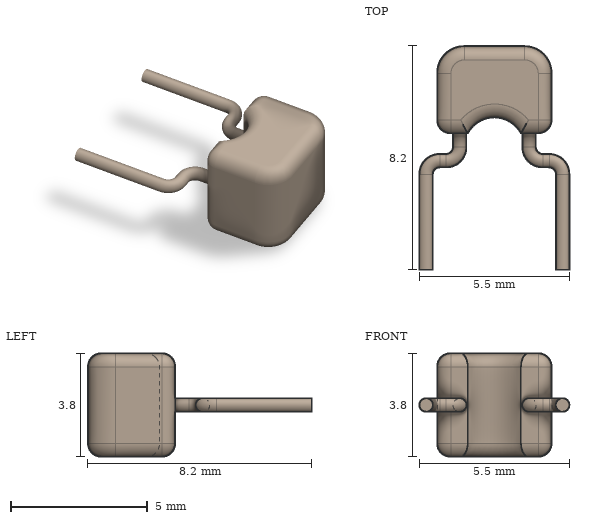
import cadquery as cq
import math

body_width = 4.2
body_depth = 3.2
body_height = 3.8
edge_radius = 0.5
back_corner_radius = 2 * edge_radius

scoop_radius = 1.11
scoop_axis_offset = 0.525

overall_depth = 8.2
wire_diameter = 0.5
bend_radius = 0.5
first_straight = 0.5
lead_root_x = 1.27
lead_tip_x = 2.5
lead_embedment = 0.5


def make_body():
    half_width = body_width / 2
    scoop_half_width = math.sqrt(scoop_radius**2 - scoop_axis_offset**2)
    scoop_depth = scoop_radius - scoop_axis_offset
    block = (
        cq.Workplane("XY", origin=(0, 0, -body_height / 2))
        .moveTo(-half_width, 0)
        .lineTo(-scoop_half_width, 0)
        .threePointArc((0, scoop_depth), (scoop_half_width, 0))
        .lineTo(half_width, 0)
        .lineTo(half_width, body_depth)
        .lineTo(-half_width, body_depth)
        .close()
        .extrude(body_height)
    )
    block = block.edges("|Z and >Y").fillet(back_corner_radius)
    front_corners = block.edges("|Z and (<X or >X)").edges("<Y")
    rims = block.faces("<Z or >Z").edges()
    return front_corners.add(rims).fillet(edge_radius)


def make_lead(side):
    """Sweep one lead; side is -1 for the left lead and +1 for the right."""
    bend_middle = bend_radius * math.sqrt(0.5)
    first_bend_y = -first_straight
    crossing_y = first_bend_y - bend_radius
    second_bend_y = crossing_y - bend_radius
    tip_y = body_depth - overall_depth
    crossing_start_x = lead_root_x + bend_radius
    crossing_end_x = lead_tip_x - bend_radius

    path = (
        cq.Workplane("XY")
        .moveTo(side * lead_root_x, lead_embedment)
        .lineTo(side * lead_root_x, first_bend_y)
        .threePointArc(
            (side * (crossing_start_x - bend_middle), first_bend_y - bend_middle),
            (side * crossing_start_x, crossing_y),
        )
        .lineTo(side * crossing_end_x, crossing_y)
        .threePointArc(
            (side * (crossing_end_x + bend_middle), second_bend_y + bend_middle),
            (side * lead_tip_x, second_bend_y),
        )
        .lineTo(side * lead_tip_x, tip_y)
    )
    section = cq.Workplane("XZ", origin=(side * lead_root_x, lead_embedment, 0))
    return section.circle(wire_diameter / 2).sweep(path)


result = make_body()
for lead_side in (-1, 1):
    result = result.union(make_lead(lead_side))